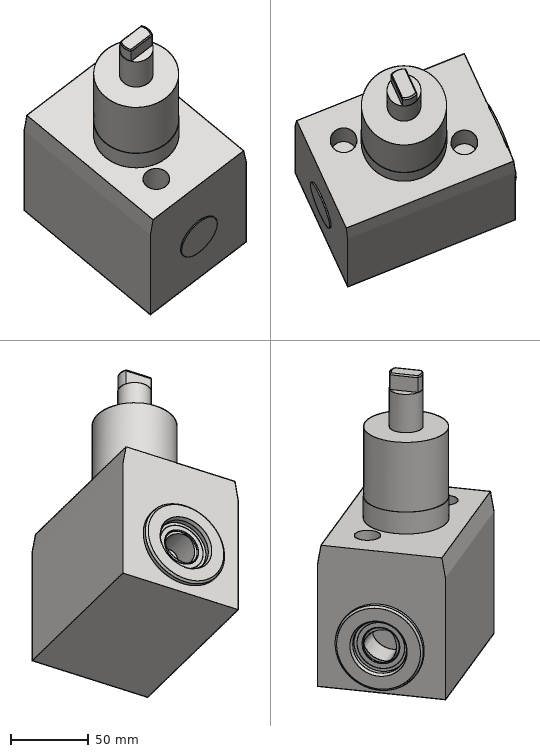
import cadquery as cq
import math


BLOCK_LEFT = 59.9
BLOCK_RIGHT = 58.0
BLOCK_WIDTH = 86.0
BLOCK_HEIGHT = 98.9
TAPER_HEIGHT = 14.0
TAPER_INSET = 2.5

COLLAR_DIAMETER = 55.5
COLLAR_HEIGHT = 15.3
SHANK_DIAMETER = 55.0
SHANK_TOP = 162.8
SPINDLE_DIAMETER = 22.0
SPINDLE_TOP = 189.5
TANG_TOP = 201.0
TANG_DIAMETER = 21.7
TANG_THICKNESS = 10.5
TANG_CHAMFER_HEIGHT = 1.2
TANG_CHAMFER_INSET = 0.6

TOP_HOLE_DIAMETER = 17.0
TOP_HOLE_DEPTH = 24.1
TOP_HOLE_X = 35.5
TOP_HOLE_Y = 16.0

SOCKET_Z = 33.8
FLANGE_DIAMETER = 59.0
FLANGE_THICKNESS = 4.0
FLANGE_CHAMFER = 1.5
FLANGE_PROJECTION = 7.0
NECK_DIAMETER = 49.0
RECESS_DIAMETER = 36.0
RECESS_DEPTH = 5.6
RECESS_CHAMFER_INSET = 1.2
RECESS_CHAMFER_DEPTH = 2.5
STEP_DIAMETER = 32.0
STEP_DEPTH = 0.2
RIM_DIAMETER = 24.1
RIM_CHAMFER = 0.6
RIM_DEPTH = 0.8
LOBE_COUNT = 3
LOBE_SPACING = 8.8
LOBE_RADIUS = 6.5
LOBE_FLOOR_RADIUS = 5.8
LOBE_DEPTH = 19.0

PAD_Z = 44.8
PAD_DIAMETER = 32.0
PAD_PROJECTION = 1.0

FLANGE_FACE_X = -BLOCK_LEFT - FLANGE_PROJECTION


def disc_z(diameter, bottom, top):
    """Vertical cylinder on the spindle axis."""
    return cq.Workplane("XY").workplane(offset=bottom).circle(diameter / 2).extrude(top - bottom)


def disc_x(diameter, start, length, height=SOCKET_Z):
    """Cylinder parallel to X at the given height, running toward +X from the start."""
    return cq.Workplane("YZ", origin=(start, 0, height)).circle(diameter / 2).extrude(length)


def make_block():
    """Block whose long top edges lean inward."""
    half_width = BLOCK_WIDTH / 2
    half_top = half_width - TAPER_INSET
    shoulder = BLOCK_HEIGHT - TAPER_HEIGHT
    outline = [
        (-half_width, 0),
        (half_width, 0),
        (half_width, shoulder),
        (half_top, BLOCK_HEIGHT),
        (-half_top, BLOCK_HEIGHT),
        (-half_width, shoulder),
    ]
    section = cq.Workplane("YZ", origin=(-BLOCK_LEFT, 0, 0)).polyline(outline).close()
    return section.extrude(BLOCK_LEFT + BLOCK_RIGHT)


def make_shank():
    """Collar, shank and spindle, ending in a two-flat tang."""
    collar_top = BLOCK_HEIGHT + COLLAR_HEIGHT
    collar = disc_z(COLLAR_DIAMETER, BLOCK_HEIGHT, collar_top)
    shank = disc_z(SHANK_DIAMETER, collar_top, SHANK_TOP)
    spindle = disc_z(SPINDLE_DIAMETER, SHANK_TOP, SPINDLE_TOP)
    tang_slab = cq.Workplane("XY", origin=(0, 0, SPINDLE_TOP)).box(
        TANG_THICKNESS, TANG_DIAMETER, TANG_TOP - SPINDLE_TOP, centered=(True, True, False)
    )
    tang = disc_z(TANG_DIAMETER, SPINDLE_TOP, TANG_TOP).intersect(tang_slab)
    tang = tang.faces(">Z").chamfer(TANG_CHAMFER_INSET, TANG_CHAMFER_HEIGHT)
    return collar.union(shank).union(spindle).union(tang)


def make_flange():
    """Stepped flange that carries the tool socket."""
    neck = disc_x(NECK_DIAMETER, FLANGE_FACE_X, FLANGE_PROJECTION)
    plate = disc_x(FLANGE_DIAMETER, FLANGE_FACE_X, FLANGE_THICKNESS)
    plate = plate.faces("<X").edges().chamfer(FLANGE_CHAMFER)
    return neck.union(plate)


def polar(center, radius, angle):
    """Point at a radius and angle (degrees) from a center."""
    turn = math.radians(angle)
    return (center[0] + radius * math.cos(turn), center[1] + radius * math.sin(turn))


def lobed_wire(start, lobe_radius):
    """Constant-width three-lobe outline of tangent arcs, with one lobe toward +Y."""
    pitch = 360 / LOBE_COUNT
    half_lobe = pitch / 2
    center_distance = LOBE_SPACING / math.sqrt(LOBE_COUNT)
    flank_radius = LOBE_SPACING + lobe_radius
    outline_start = polar((center_distance, 0), lobe_radius, -half_lobe / 2)
    outline = cq.Workplane("YZ", origin=(start, 0, SOCKET_Z)).moveTo(*outline_start)
    for lobe in range(LOBE_COUNT):
        angle = lobe * pitch
        center = polar((0, 0), center_distance, angle)
        flank_center = polar((0, 0), center_distance, angle - pitch)
        flank_angle = angle + half_lobe
        lobe_end = polar(center, lobe_radius, angle + half_lobe / 2)
        flank_end = polar(flank_center, flank_radius, flank_angle + half_lobe / 2)
        outline = outline.threePointArc(polar(center, lobe_radius, angle), lobe_end)
        outline = outline.threePointArc(polar(flank_center, flank_radius, flank_angle), flank_end)
    return outline.close().val()


def countersink(diameter, start, inset, depth):
    """Cone on the socket axis that chamfers the mouth of a bore of the given diameter."""
    return (
        cq.Workplane("YZ", origin=(start, 0, SOCKET_Z))
        .circle(diameter / 2 + inset)
        .workplane(offset=depth)
        .circle(diameter / 2)
        .loft()
    )


def make_socket():
    """Chamfered recess, shallow step, round rim and tapered three-lobe bore, as one cutting body."""
    step_x = FLANGE_FACE_X + RECESS_DEPTH
    rim_x = step_x + STEP_DEPTH
    lobe_x = rim_x + RIM_DEPTH
    mouth = countersink(RECESS_DIAMETER, FLANGE_FACE_X, RECESS_CHAMFER_INSET, RECESS_CHAMFER_DEPTH)
    rim_mouth = countersink(RIM_DIAMETER, rim_x, RIM_CHAMFER, RIM_CHAMFER)
    recess = disc_x(RECESS_DIAMETER, FLANGE_FACE_X, RECESS_DEPTH)
    step = disc_x(STEP_DIAMETER, step_x, STEP_DEPTH)
    rim = disc_x(RIM_DIAMETER, rim_x, RIM_DEPTH)
    lobed_mouth = lobed_wire(lobe_x, LOBE_RADIUS)
    lobed_floor = lobed_wire(lobe_x + LOBE_DEPTH, LOBE_FLOOR_RADIUS)
    lobed_bore = cq.Workplane(cq.Solid.makeLoft([lobed_mouth, lobed_floor], True))
    return recess.union(mouth).union(step).union(rim).union(rim_mouth).union(lobed_bore)


def make_top_holes():
    """Pair of blind holes sunk from the top face."""
    return (
        cq.Workplane("XY", origin=(0, 0, BLOCK_HEIGHT))
        .pushPoints([(-TOP_HOLE_X, TOP_HOLE_Y), (TOP_HOLE_X, -TOP_HOLE_Y)])
        .circle(TOP_HOLE_DIAMETER / 2)
        .extrude(-TOP_HOLE_DEPTH)
    )


pad = disc_x(PAD_DIAMETER, BLOCK_RIGHT, PAD_PROJECTION, PAD_Z)
body = make_block().union(make_shank()).union(make_flange()).union(pad)
result = body.cut(make_socket()).cut(make_top_holes())